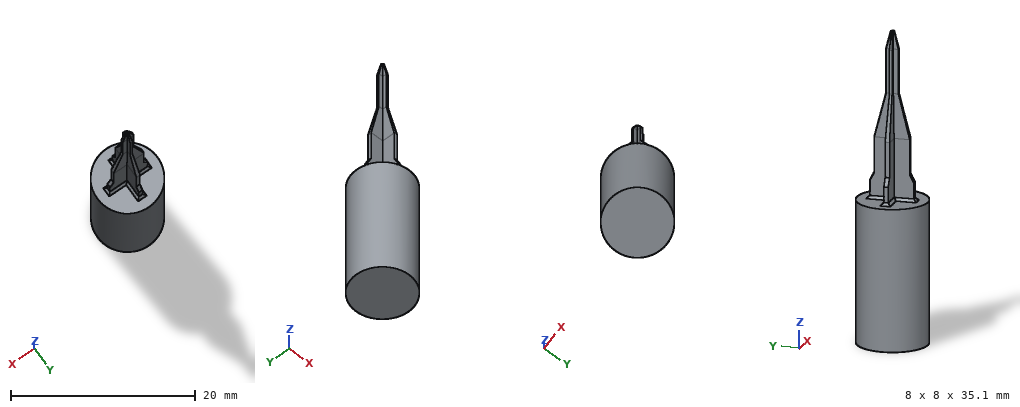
import cadquery as cq

total_height = 35.1
handle_diameter = 8.0
handle_height = 16.1

root_width = 5.0
body_width = 4.0
shank_width = 1.4
tip_width = 0.4
body_thickness = 0.5
shank_thickness = 0.3
tip_thickness = 0.15

foot_height = 0.3
foot_spread = 0.3

root_bottom = handle_height + foot_height
root_top = 18.18
body_bottom = 19.13
body_top = 23.1
shank_bottom = 28.1
shank_top = 33.15

shaft_sections = [
    (handle_height, root_width + 2 * foot_spread, body_thickness + 2 * foot_spread),
    (root_bottom, root_width, body_thickness),
    (root_top, root_width, body_thickness),
    (body_bottom, body_width, body_thickness),
    (body_top, body_width, body_thickness),
    (shank_bottom, shank_width, shank_thickness),
    (shank_top, shank_width, shank_thickness),
    (total_height, tip_width, tip_thickness),
]


def blade_segment(lower, upper):
    """Straight-sided loft between two rectangular blade sections."""
    lower_z, lower_width, lower_thickness = lower
    upper_z, upper_width, upper_thickness = upper
    return (
        cq.Workplane("XY", origin=(0, 0, lower_z))
        .rect(lower_width, lower_thickness)
        .workplane(offset=upper_z - lower_z)
        .rect(upper_width, upper_thickness)
        .loft(ruled=True)
    )


def cross_segment(lower, upper):
    """Two identical blade segments crossing at a right angle."""
    blade = blade_segment(lower, upper)
    crossing_blade = blade.rotate((0, 0, 0), (0, 0, 1), 90)
    return blade.union(crossing_blade)


result = cq.Workplane("XY").circle(handle_diameter / 2).extrude(handle_height)
for lower_section, upper_section in zip(shaft_sections, shaft_sections[1:]):
    result = result.union(cross_segment(lower_section, upper_section))